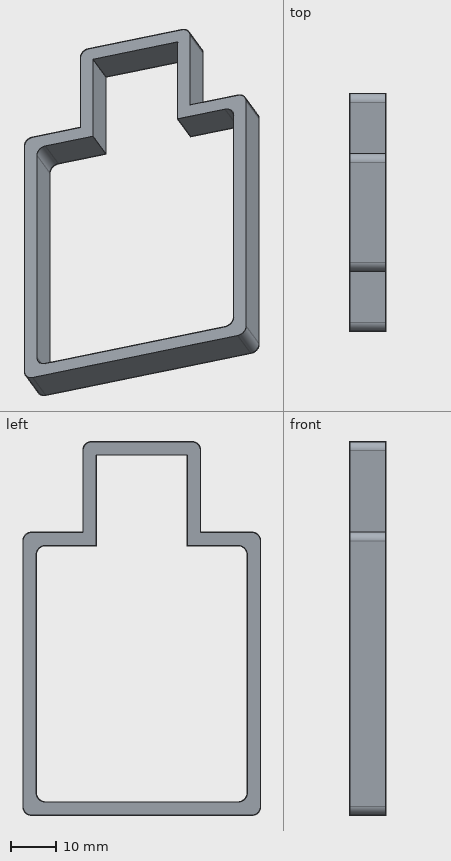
import cadquery as cq

thickness = 8.0
body_width = 52.5
total_height = 82.5
wall = 3.0

neck_width = 26.0
neck_height = 20.0
body_height = total_height - neck_height

corner_radius = 2.0


def block(width, bottom, top):
    """Box centred on X and Y, spanning the full thickness between two heights."""
    height = top - bottom
    return cq.Workplane("XY").box(thickness, width, height, centered=(True, True, False)).translate(
        (0, 0, bottom)
    )


def outer_shape():
    """Solid silhouette: rounded body with a neck rounded only at its top."""
    body = block(body_width, 0, body_height).edges("|X").fillet(corner_radius)
    neck = block(neck_width, body_height - wall, total_height)
    neck = neck.faces(">Z").edges("|X").fillet(corner_radius)
    return body.union(neck)


def inner_opening():
    """Through opening, one wall inside the silhouette; the neck part keeps sharp corners."""
    body = block(body_width - 2 * wall, wall, body_height - wall)
    body = body.edges("|X").fillet(corner_radius)
    neck = block(neck_width - 2 * wall, body_height - 2 * wall, total_height - wall)
    return body.union(neck)


result = outer_shape().cut(inner_opening())